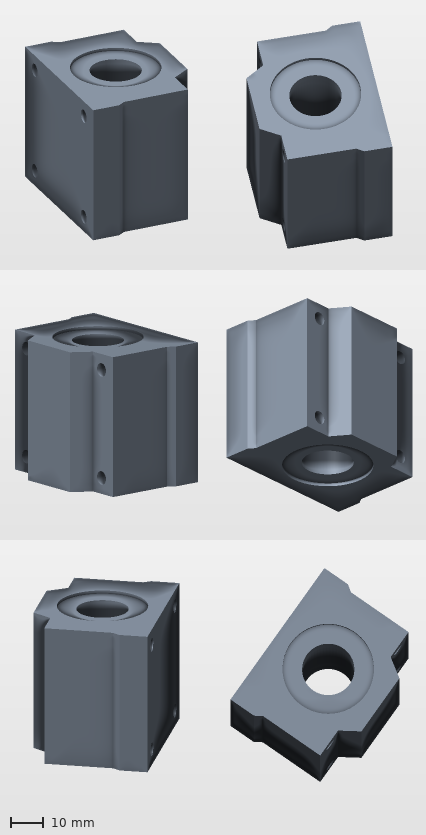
import cadquery as cq

width = 50.0
depth = 38.5
height = 44.0

flange_thickness = 8.8
flange_bevel_end = 11.0
body_width = 47.0
shoulder_y = 32.5
crown_base_width = 28.0
crown_top_width = 20.2

axis_y = 19.0
seat_diameter = 28.0
shaft_diameter = 16.0
sleeve_recess = 1.0
sleeve_length = height - 2 * sleeve_recess

mount_diameter = 4.25
mount_pitch_x = 36.0
mount_pitch_z = 34.0


def make_profile():
    """Closed outline, symmetric about X = 0."""
    right_side = [
        (width / 2, 0),
        (width / 2, flange_thickness),
        (body_width / 2, flange_bevel_end),
        (body_width / 2, shoulder_y),
        (crown_base_width / 2, shoulder_y),
        (crown_top_width / 2, depth),
    ]
    left_side = [(-x, y) for x, y in reversed(right_side)]
    return cq.Workplane("XY").polyline(right_side + left_side).close()


def make_housing():
    """Pillow block with a plain bearing seat and four through mounting holes."""
    block = make_profile().extrude(height)
    seat = cq.Workplane("XY").center(0, axis_y).circle(seat_diameter / 2).extrude(height)
    mount_holes = (
        cq.Workplane("XZ")
        .center(0, height / 2)
        .rarray(mount_pitch_x, mount_pitch_z, 2, 2)
        .circle(mount_diameter / 2)
        .extrude(-depth)
    )
    return block.cut(seat).cut(mount_holes)


def make_sleeve():
    """Bearing sleeve, set back equally from both ends of the seat."""
    return (
        cq.Workplane("XY", origin=(0, axis_y, sleeve_recess))
        .circle(seat_diameter / 2)
        .circle(shaft_diameter / 2)
        .extrude(sleeve_length)
    )


housing = make_housing()
sleeve = make_sleeve()
result = cq.Compound.makeCompound([housing.val(), sleeve.val()])